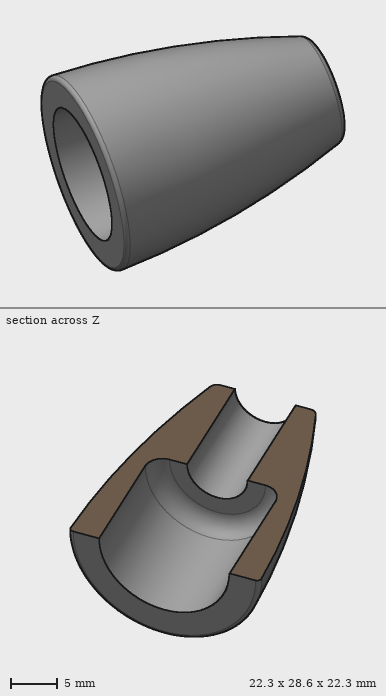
import cadquery as cq

length = 28.6
wide_diameter = 22.35
mid_diameter = 19.4
narrow_diameter = 11.9
wide_edge_radius = 0.5
narrow_edge_radius = 1.0

socket_diameter = 15.2
socket_depth = 15.0
socket_floor_radius = 2.0
through_hole_diameter = 7.05


def make_body():
    """Solid of revolution with a bulging side and rounded end edges."""
    body = (
        cq.Workplane("XY")
        .lineTo(wide_diameter / 2, 0)
        .threePointArc((mid_diameter / 2, length / 2), (narrow_diameter / 2, length))
        .lineTo(0, length)
        .close()
        .revolve(360, (0, 0, 0), (0, 1, 0))
    )
    body = body.faces("<Y").edges().fillet(wide_edge_radius)
    return body.faces(">Y").edges().fillet(narrow_edge_radius)


def make_cylinder(diameter, depth):
    """Cylinder from the wide end, running along +Y."""
    return cq.Workplane("XZ").circle(diameter / 2).extrude(-depth)


def make_socket():
    """Blind bore of the wide end, with a rounded corner around its floor."""
    socket = make_cylinder(socket_diameter, socket_depth)
    return socket.faces(">Y").edges().fillet(socket_floor_radius)


through_hole = make_cylinder(through_hole_diameter, length)
result = make_body().cut(make_socket()).cut(through_hole)